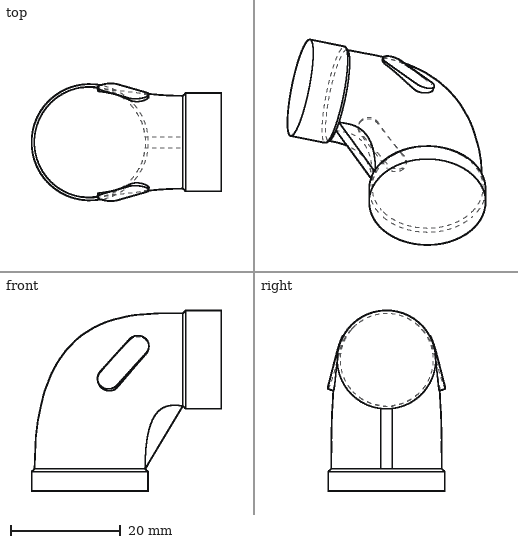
import cadquery as cq


OVERALL_LENGTH = 34.65
OVERALL_HEIGHT = 33.0

BOTTOM_COLLAR_RADIUS = 21.28 / 2
BOTTOM_COLLAR_LENGTH = 4.05
SIDE_COLLAR_RADIUS = 18.0 / 2
SIDE_COLLAR_LENGTH = 7.05
COLLAR_CHAMFER = 0.52

SIDE_END_X = OVERALL_LENGTH - BOTTOM_COLLAR_RADIUS
SIDE_AXIS_Z = OVERALL_HEIGHT - SIDE_COLLAR_RADIUS

BODY_START_RADIUS = BOTTOM_COLLAR_RADIUS - COLLAR_CHAMFER
BODY_END_RADIUS = SIDE_COLLAR_RADIUS - COLLAR_CHAMFER
BODY_END_X = SIDE_END_X - SIDE_COLLAR_LENGTH
SECTION_COUNT = 13

OUTER_HANDLES = (29.8, 9.15)
INNER_HANDLES = (13.25, 2.0)

WEB_THICKNESS = 2.08

PAD_RADIUS = 2.05
PAD_DEPTH = 1.4
PAD_LOW_END = (3.43, 20.58)
PAD_HIGH_END = (8.73, 26.45)
PAD_LOW_Y = 10.1
PAD_SLOPE_X = 0.08
PAD_SLOPE_Z = 0.33


def bottom_collar():
    collar = cq.Workplane("XY").circle(BOTTOM_COLLAR_RADIUS).extrude(BOTTOM_COLLAR_LENGTH)
    return collar.faces(">Z").chamfer(COLLAR_CHAMFER)


def side_collar():
    base = cq.Workplane("YZ", origin=(BODY_END_X, 0, SIDE_AXIS_Z))
    collar = base.circle(SIDE_COLLAR_RADIUS).extrude(SIDE_COLLAR_LENGTH)
    return collar.faces("<X").chamfer(COLLAR_CHAMFER)


def bend_edge_point(side, handles, u):
    """Point at 0 <= u <= 1 on a bend edge; side is +1 for the outer edge, -1 for the inner."""
    start = cq.Vector(-side * BODY_START_RADIUS, 0, BOTTOM_COLLAR_LENGTH)
    end = cq.Vector(BODY_END_X, 0, SIDE_AXIS_Z + side * BODY_END_RADIUS)
    start_handle = start + cq.Vector(0, 0, handles[0])
    end_handle = end - cq.Vector(handles[1], 0, 0)
    return (
        start * (1 - u) ** 3
        + start_handle * (3 * u * (1 - u) ** 2)
        + end_handle * (3 * u**2 * (1 - u))
        + end * u**3
    )


def body_section(u):
    """Elliptical cross-section spanning from the inner to the outer edge of the bend."""
    outer = bend_edge_point(1, OUTER_HANDLES, u)
    inner = bend_edge_point(-1, INNER_HANDLES, u)
    across = inner - outer
    blend = 3 * u**2 - 2 * u**3
    half_width = BODY_START_RADIUS + (BODY_END_RADIUS - BODY_START_RADIUS) * blend
    normal = cq.Vector(0, 1, 0).cross(across)
    plane = cq.Plane(origin=(outer + inner) / 2, xDir=across, normal=normal)
    return cq.Workplane(plane).ellipse(across.Length / 2, half_width).wires().val()


def bent_body():
    sections = [body_section(i / (SECTION_COUNT - 1)) for i in range(SECTION_COUNT)]
    return cq.Workplane(cq.Solid.makeLoft(sections))


def web():
    corners = [
        (BODY_START_RADIUS, BOTTOM_COLLAR_LENGTH),
        (BODY_END_X, SIDE_AXIS_Z - BODY_END_RADIUS),
        (BODY_END_X, SIDE_AXIS_Z),
        (0, SIDE_AXIS_Z),
        (0, BOTTOM_COLLAR_LENGTH),
    ]
    return cq.Workplane("XZ").polyline(corners).close().extrude(WEB_THICKNESS / 2, both=True)


def front_pad():
    low_x, low_z = PAD_LOW_END
    run_x = PAD_HIGH_END[0] - low_x
    run_z = PAD_HIGH_END[1] - low_z
    low = cq.Vector(low_x, -PAD_LOW_Y, low_z)
    along = cq.Vector(run_x, PAD_SLOPE_Z * run_z - PAD_SLOPE_X * run_x, run_z)
    outward = cq.Vector(-PAD_SLOPE_X, -1, PAD_SLOPE_Z)
    face = cq.Workplane(cq.Plane(origin=low + along / 2, xDir=along, normal=outward))
    return face.slot2D(along.Length + 2 * PAD_RADIUS, 2 * PAD_RADIUS).extrude(-PAD_DEPTH)


pad = front_pad()
result = bottom_collar().union(bent_body()).union(side_collar()).union(web())
result = result.union(pad).union(pad.mirror("XZ"))